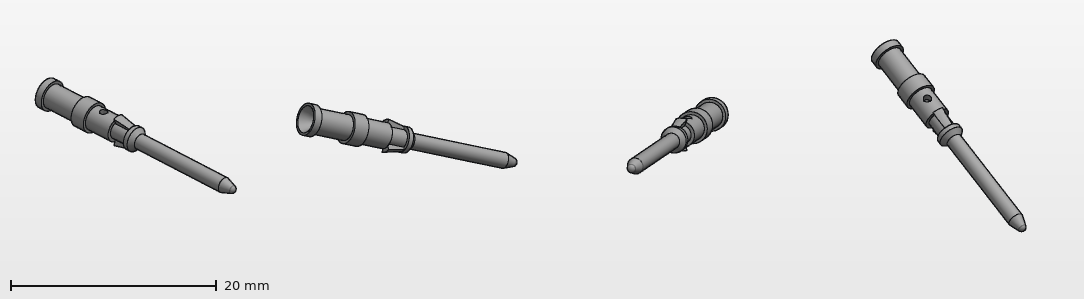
import cadquery as cq
import math

total_length = 25.0
flange_radius = 3.2 / 2
body_radius = 2.6 / 2
neck_radius = 1.9 / 2
pin_radius = 1.6 / 2

flange_end = 0.8
collar_start = 4.75
collar_end = 6.38
neck_start = 9.38
neck_end = 11.4
shoulder_start = 11.9
shoulder_end = shoulder_start + body_radius - pin_radius
taper_start = 23.52

tip_radius = 0.45
tip_center = total_length - tip_radius

funnel_radius = 2.7 / 2
bore_radius = 1.1 / 2
funnel_depth = 1.4
bore_depth = 8.0
drill_point_angle = 118.0

inspection_diameter = 0.8
inspection_x = 7.6

barb_start = 9.45
barb_tall_radius = 3.3 / 2
barb_low_radius = 1.25
barb_sector_angle = 40.0


def make_body():
    """Revolved outer shape with a tapered, round-ended pin."""
    run = tip_center - taper_start
    center_distance = math.hypot(run, pin_radius)
    normal_angle = math.pi - math.atan2(pin_radius, run) - math.acos(tip_radius / center_distance)

    def tip_point(angle):
        return (tip_center + tip_radius * math.cos(angle), tip_radius * math.sin(angle))

    return (
        cq.Workplane("XY")
        .lineTo(0, flange_radius)
        .lineTo(flange_end, flange_radius)
        .lineTo(flange_end, body_radius)
        .lineTo(collar_start, body_radius)
        .lineTo(collar_start, flange_radius)
        .lineTo(collar_end, flange_radius)
        .lineTo(collar_end, body_radius)
        .lineTo(neck_start, body_radius)
        .lineTo(neck_start, neck_radius)
        .lineTo(neck_end, neck_radius)
        .lineTo(neck_end, body_radius)
        .lineTo(shoulder_start, body_radius)
        .lineTo(shoulder_end, pin_radius)
        .lineTo(taper_start, pin_radius)
        .lineTo(*tip_point(normal_angle))
        .threePointArc(tip_point(normal_angle / 2), (total_length, 0))
        .close()
        .revolve(360, (0, 0), (1, 0))
    )


def make_bore():
    """Funnel and blind bore with a conical bottom."""
    point_length = bore_radius / math.tan(math.radians(drill_point_angle / 2))
    return (
        cq.Workplane("XY")
        .lineTo(0, funnel_radius)
        .lineTo(funnel_depth, bore_radius)
        .lineTo(bore_depth, bore_radius)
        .lineTo(bore_depth + point_length, 0)
        .close()
        .revolve(360, (0, 0), (1, 0))
    )


def make_inspection_hole():
    """Radial hole from the axis out through the top of the barrel."""
    return cq.Workplane("XY").center(inspection_x, 0).circle(inspection_diameter / 2).extrude(body_radius)


def make_barb(direction):
    """Conical sector barb centred on the given angle about X, in degrees."""
    return (
        cq.Workplane("XY")
        .moveTo(barb_start, 0)
        .lineTo(barb_start, barb_tall_radius)
        .lineTo(neck_end, barb_low_radius)
        .lineTo(neck_end, 0)
        .close()
        .revolve(barb_sector_angle, (0, 0), (1, 0))
        .rotate((0, 0, 0), (1, 0, 0), direction - barb_sector_angle / 2)
    )


result = make_body()
for barb_direction in (90, 270):
    result = result.union(make_barb(barb_direction))
result = result.cut(make_bore()).cut(make_inspection_hole())